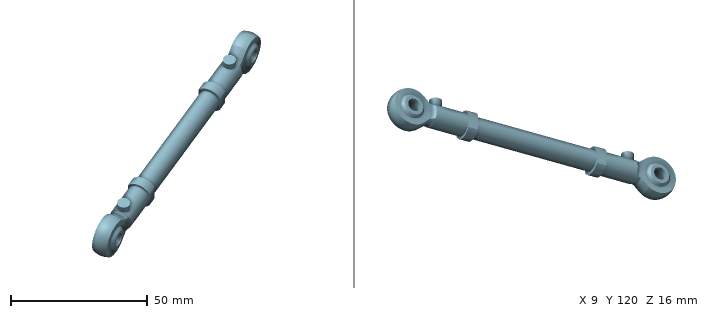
import cadquery as cq

total_length = 120.0
head_radius = 7.98
eye_y = total_length / 2 - head_radius

head_width = 6.0
shank_diameter = 9.0
cone_start = 4.0
cone_end = 7.5
neck_diameter = 8.6
neck_end = 9.0
shoulder_start = 7.9
shoulder_end = 9.6
collar_diameter = 10.9
collar_start = 22.9
collar_end = 26.9
stud_diameter = 4.8
stud_offset = 11.4
stud_top = 7.0

ball_radius = 5.7
ball_width = 8.4
bore_diameter = 5.0

rod_diameter = 8.4
rod_length = 2 * (eye_y - collar_end)

shank_radius = shank_diameter / 2
flat_x = head_width / 2
neck_radius = neck_diameter / 2
cone_start_radius = (head_radius**2 - cone_start**2) ** 0.5


def make_ball_blank():
    """Sphere cut to flat faces at both ends of the bearing axis, X."""
    slab = cq.Workplane("XY").box(ball_width, 2 * ball_radius, 2 * ball_radius)
    return cq.Workplane("XY").sphere(ball_radius).intersect(slab)


def make_turned_blank():
    """Spherical head, cone, neck, shank and collar revolved about Y."""
    return (
        cq.Workplane("XY")
        .moveTo(0, -head_radius)
        .threePointArc((head_radius, 0), (cone_start_radius, cone_start))
        .lineTo(neck_radius, cone_end)
        .lineTo(neck_radius, neck_end)
        .lineTo(shank_radius, neck_end)
        .lineTo(shank_radius, collar_start)
        .lineTo(collar_diameter / 2, collar_start)
        .lineTo(collar_diameter / 2, collar_end)
        .lineTo(0, collar_end)
        .close()
        .revolve(360, (0, 0, 0), (0, 1, 0))
    )


def make_side_envelope():
    """Flat-sided outline in XY that trims the head, concave shoulders and spanner flats."""
    return (
        cq.Workplane("XY")
        .moveTo(0, -head_radius)
        .lineTo(flat_x, -head_radius)
        .lineTo(flat_x, shoulder_start)
        .tangentArcPoint((shank_radius, shoulder_end), relative=False)
        .lineTo(shank_radius, collar_end)
        .lineTo(0, collar_end)
        .mirrorY()
        .extrude(head_radius, both=True)
    )


def make_rod_end():
    """Rod end with its bearing centre at the origin and its shank along +Y."""
    stud = (
        cq.Workplane("XY")
        .center(0, stud_offset)
        .circle(stud_diameter / 2)
        .extrude(stud_top)
    )
    body = make_turned_blank().intersect(make_side_envelope()).union(stud)
    return body.cut(make_ball_blank())


def make_ball():
    """Bearing ball at the origin, bored along X."""
    bore = (
        cq.Workplane("YZ")
        .circle(bore_diameter / 2)
        .extrude(ball_width, both=True)
    )
    return make_ball_blank().cut(bore)


def make_rod():
    """Plain round rod between the two collars."""
    return (
        cq.Workplane("XZ", origin=(0, rod_length / 2, 0))
        .circle(rod_diameter / 2)
        .extrude(rod_length)
    )


rod = make_rod()
rod_ends = []
balls = []
for turn in (0, 180):
    for part, group in ((make_rod_end(), rod_ends), (make_ball(), balls)):
        placed = part.translate((0, -eye_y, 0)).rotate((0, 0, 0), (0, 0, 1), turn)
        group.append(placed.val())

result = cq.Compound.makeCompound([rod.val(), *rod_ends, *balls])